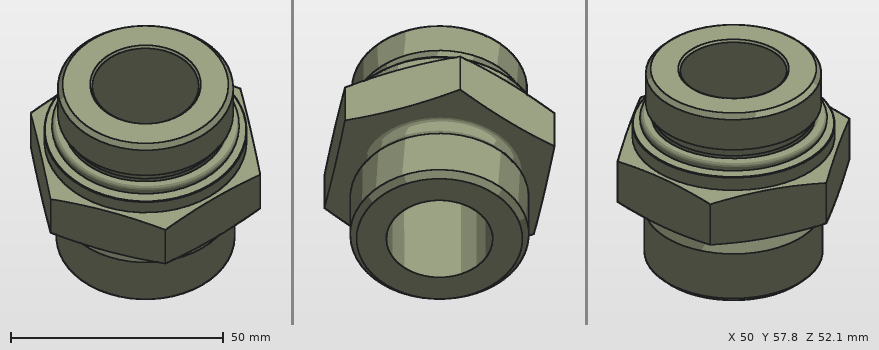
import cadquery as cq
import math

TOTAL_HEIGHT = 52.1
FLANGE_TOP = 36.95
HEX_TOP = 33.3
HEX_BOTTOM = 20.0
LOWER_CONE_BOTTOM = 13.85
UPPER_CONE_TOP = 42.55

ACROSS_CORNERS = 57.75
ACROSS_FLATS = ACROSS_CORNERS * math.cos(math.radians(30))
HEX_CHAMFER_ANGLE = 15.0

BORE_DIAMETER = 25.0
LOWER_DIAMETER = 42.0
LOWER_NECK_DIAMETER = 39.0
FLANGE_DIAMETER = 47.6
GROOVE_DIAMETER = 38.3
UPPER_DIAMETER = 41.3

TOP_CHAMFER = 1.15
BOTTOM_CHAMFER = 1.5
BORE_CHAMFER = 0.5
FLANGE_CHAMFER = 0.2
NECK_FILLET = 1.3
CONE_ANGLE = 30.0

RING_SECTION_DIAMETER = 2.9


def cone_height(large_diameter, small_diameter):
    """Axial length of a neck cone between two diameters."""
    return (large_diameter - small_diameter) / 2 / math.tan(math.radians(CONE_ANGLE))


def turned_cylinder(diameter, bottom, top):
    """Solid cylinder on the Z axis between two heights."""
    return cq.Workplane("XY").workplane(offset=bottom).circle(diameter / 2).extrude(top - bottom)


def make_hexagon():
    """Hexagon with corners on the Y axis, turned off conically at both ends."""
    height = HEX_TOP - HEX_BOTTOM
    hexagon = (
        cq.Workplane("XY")
        .workplane(offset=HEX_BOTTOM)
        .transformed(rotate=(0, 0, 90))
        .polygon(6, ACROSS_CORNERS)
        .extrude(height)
    )
    flat_radius = ACROSS_FLATS / 2
    corner_radius = ACROSS_CORNERS / 2
    drop = (corner_radius - flat_radius) * math.tan(math.radians(HEX_CHAMFER_ANGLE))
    envelope = (
        cq.Workplane("XZ")
        .moveTo(0, HEX_BOTTOM)
        .lineTo(flat_radius, HEX_BOTTOM)
        .lineTo(corner_radius, HEX_BOTTOM + drop)
        .lineTo(corner_radius, HEX_TOP - drop)
        .lineTo(flat_radius, HEX_TOP)
        .lineTo(0, HEX_TOP)
        .close()
        .revolve(360, (0, 0, 0), (0, 1, 0))
    )
    return hexagon.intersect(envelope)


def make_lower_end():
    """Lower spigot with a chamfered end and a filleted neck under the hexagon."""
    radius = LOWER_DIAMETER / 2
    neck_radius = LOWER_NECK_DIAMETER / 2
    cone_top = LOWER_CONE_BOTTOM + cone_height(LOWER_DIAMETER, LOWER_NECK_DIAMETER)

    angle = math.radians(CONE_ANGLE)
    tangent = NECK_FILLET * math.tan(angle / 2)
    blend_start = (neck_radius + tangent * math.sin(angle), cone_top - tangent * math.cos(angle))
    fillet_start = HEX_BOTTOM - NECK_FILLET
    return (
        cq.Workplane("XZ")
        .lineTo(radius - BOTTOM_CHAMFER, 0)
        .lineTo(radius, BOTTOM_CHAMFER)
        .lineTo(radius, LOWER_CONE_BOTTOM)
        .lineTo(*blend_start)
        .radiusArc((neck_radius, cone_top + tangent), NECK_FILLET)
        .lineTo(neck_radius, fillet_start)
        .radiusArc((neck_radius + NECK_FILLET, HEX_BOTTOM), NECK_FILLET)
        .lineTo(0, HEX_BOTTOM)
        .close()
        .revolve(360, (0, 0, 0), (0, 1, 0))
    )


def make_upper_end():
    """Upper spigot whose lower end tapers into the ring groove."""
    radius = UPPER_DIAMETER / 2
    groove_radius = GROOVE_DIAMETER / 2
    cone_bottom = UPPER_CONE_TOP - cone_height(UPPER_DIAMETER, GROOVE_DIAMETER)
    return (
        cq.Workplane("XZ")
        .moveTo(0, FLANGE_TOP)
        .lineTo(groove_radius, FLANGE_TOP)
        .lineTo(groove_radius, cone_bottom)
        .lineTo(radius, UPPER_CONE_TOP)
        .lineTo(radius, TOTAL_HEIGHT - TOP_CHAMFER)
        .lineTo(radius - TOP_CHAMFER, TOTAL_HEIGHT)
        .lineTo(0, TOTAL_HEIGHT)
        .close()
        .revolve(360, (0, 0, 0), (0, 1, 0))
    )


def make_fitting():
    """Hexagon fitting with two turned ends, a flange and a through bore."""
    flange = turned_cylinder(FLANGE_DIAMETER, HEX_TOP, FLANGE_TOP).faces(">Z").chamfer(FLANGE_CHAMFER)
    body = make_lower_end().union(make_hexagon()).union(flange).union(make_upper_end())
    body = body.cut(turned_cylinder(BORE_DIAMETER, 0, TOTAL_HEIGHT))
    return body.faces(">Z").edges(cq.selectors.RadiusNthSelector(0)).chamfer(BORE_CHAMFER)


def make_sealing_ring():
    """Round-section ring resting on the flange and touching the groove floor."""
    section_radius = RING_SECTION_DIAMETER / 2
    ring_radius = GROOVE_DIAMETER / 2 + section_radius
    return (
        cq.Workplane("XZ")
        .moveTo(ring_radius, FLANGE_TOP + section_radius)
        .circle(section_radius)
        .revolve(360, (0, 0, 0), (0, 1, 0))
    )


fitting = make_fitting()
sealing_ring = make_sealing_ring()
result = cq.Compound.makeCompound([fitting.val(), sealing_ring.val()])